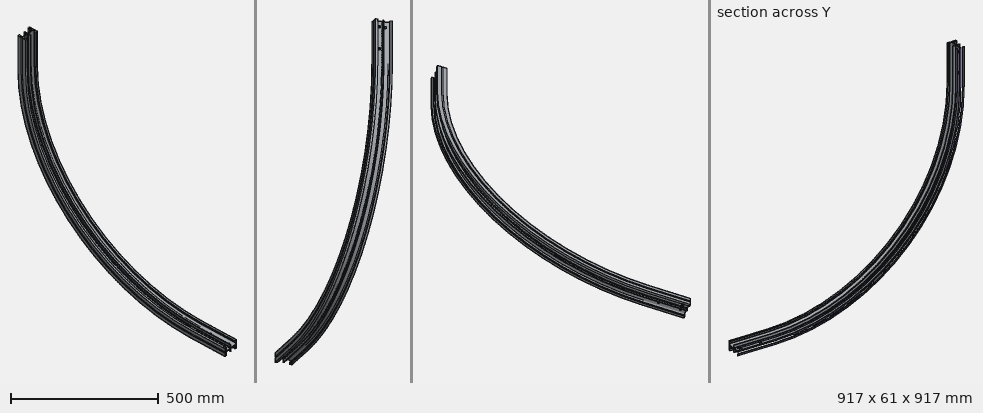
import cadquery as cq

overall_length = 917.0
rail_width = 61.0
rail_height = 35.0
straight_length = 151.0
bend_radius = overall_length - straight_length

flange_thickness = 5.5
lip_thickness = 8.0
lip_height = 7.0
web_thickness = 4.0
root_fillet = 5.0
rib_thickness = 3.0
rib_setback = 4.0
groove_width = 5.5
groove_depth = 2.0

hole_diameter = 8.0
hole_offset = 11.0
end_hole_distance = 20.0
far_hole_distance = 100.0

half_width = rail_width / 2
mid_height = rail_height / 2


def end_face():
    """Plane of the lower free end, centred on the rail: local X is Y, local Y is Z."""
    return cq.Workplane("YZ", origin=(overall_length, 0, mid_height))


def channel(side):
    """Space between the flanges above (side 1) or below (side -1) the web."""
    wall = half_width - flange_thickness
    lip_wall = half_width - lip_thickness
    web_face = side * web_thickness / 2
    lip_edge = side * (mid_height - lip_height)
    tip = side * mid_height
    right_half = [(wall, web_face), (wall, lip_edge), (lip_wall, lip_edge), (lip_wall, tip)]
    left_half = [(-y, z) for y, z in reversed(right_half)]
    root_edges = "<Z" if side > 0 else ">Z"
    return (
        end_face().polyline(right_half + left_half).close()
        .extrude(-straight_length)
        .edges("|X").edges(root_edges)
        .fillet(root_fillet)
    )


def side_groove(side):
    """Shallow round groove along the middle of the outer face of one flange."""
    outer_face = side * half_width
    return (
        end_face().moveTo(outer_face, -groove_width / 2)
        .threePointArc((outer_face - side * groove_depth, 0), (outer_face, groove_width / 2))
        .close()
        .extrude(-straight_length)
    )


def plain_leg():
    """Lower straight leg without its holes."""
    leg = end_face().rect(rail_width, rail_height).extrude(-straight_length)
    for side in (-1, 1):
        leg = leg.cut(channel(side)).cut(side_groove(side))
    rib_height = rail_height - 2 * rib_setback
    return leg.union(end_face().rect(rib_thickness, rib_height).extrude(-straight_length))


def quarter_bend(leg):
    """Revolve the leg's inner end face a quarter turn about the centre of the bend."""
    section = leg.faces("<X").val()
    axis_start = cq.Vector(bend_radius, 0, bend_radius)
    axis_end = axis_start + cq.Vector(0, 9, 0)
    return cq.Workplane(cq.Solid.revolve(section, 90, axis_start, axis_end))


def web_holes():
    """Hole cutters for the lower leg: two on the +Y side of the rib, one on the -Y side."""
    end_x = overall_length - end_hole_distance
    far_x = overall_length - far_hole_distance
    return (
        cq.Workplane("XY")
        .pushPoints([(end_x, hole_offset), (end_x, -hole_offset), (far_x, hole_offset)])
        .circle(hole_diameter / 2)
        .extrude(rail_height)
    )


def swap_x_and_z(body):
    """Carry the lower leg onto the upright leg by exchanging its X and Z."""
    return body.rotate((0, 0, 0), (0, 1, 0), 90).mirror("XY")


straight_leg = plain_leg()
lower_leg = straight_leg.cut(web_holes())
upright_leg = swap_x_and_z(lower_leg)

result = quarter_bend(straight_leg).union(lower_leg).union(upright_leg)